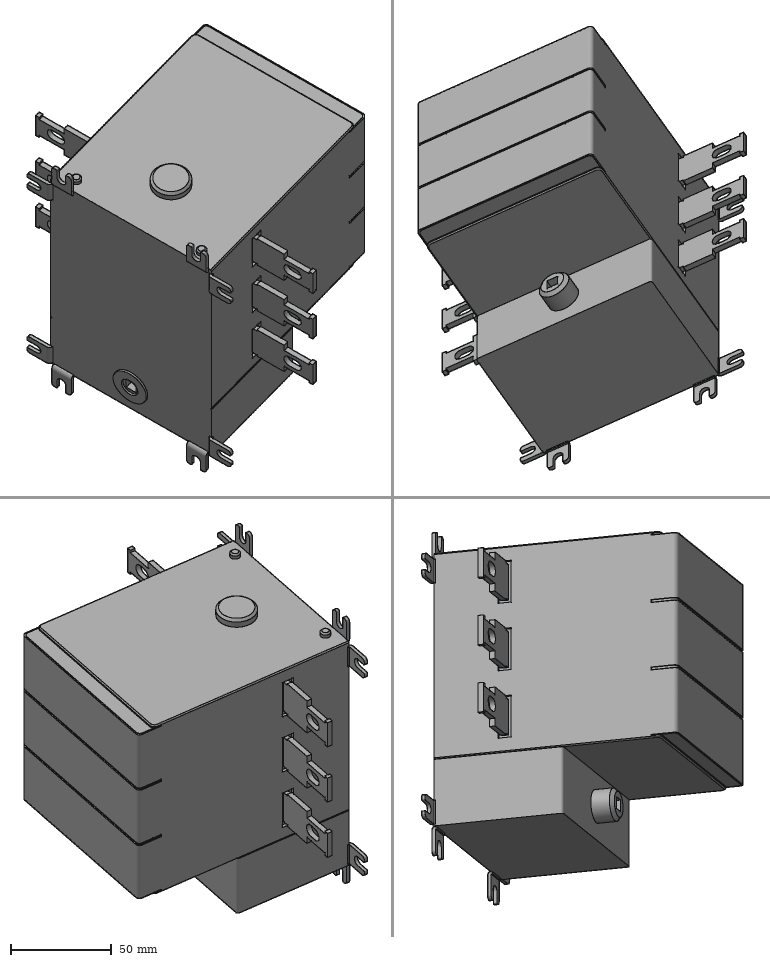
import cadquery as cq


body_width = 100.0
body_depth = 128.1
body_bottom = 34.5
body_top = 141.2
body_edge_radius = 2.2
cover_thickness = 1.4
cover_depth = 119.3
cover_corner_radius = 3.1
cover_chamfer = 0.7
body_mid_height = (body_bottom + body_top) / 2

pole_count = 3
core_bottom = body_bottom + cover_thickness
core_top = body_top - cover_thickness
pole_pitch = 34.9
groove_width = 1.4
groove_length = 14.0
groove_depth = 0.7

gearbox_depth = 68.0
gearbox_edge_radius = 1.4
drive_height = 17.4
drive_ring_diameter = 20.6
drive_ring_height = 1.2
drive_ring_bore = 10.1
drive_square = 6.0
boss_diameter = 16.9
boss_length = 11.7
boss_chamfer = 1.9

knob_diameter = 20.8
knob_height = 4.6
knob_chamfer = 1.4
knob_y = 33.0
screw_diameter = 5.3
screw_height = 2.8
screw_chamfer = 0.9
screw_spacing = 77.7
screw_y = 6.5

lug_span = 172.0
lug_thickness = 3.0
lug_y = 37.1
lug_width = 20.1
lug_neck_width = 18.4
lug_neck_end = 51.4
lug_shoulder = 68.3
lug_arm_width = 12.2
lug_tip_width = 15.1
lug_tip_length = 2.2
lug_hole_x = 73.5
lug_hole_length = 10.7
lug_hole_width = 6.7
window_width = 6.9
window_height = 21.7
window_depth = 1.7

foot_width = 12.2
foot_length = 14.8
foot_thickness = 1.9
foot_bend_radius = 2.5
foot_flange_depth = 0.9
foot_slot_width = 5.3
foot_slot_depth = 8.6
foot_tip_radius = 2.0
foot_slot_mouth_radius = 0.7
top_foot_tip = 153.0
bottom_foot_tip = -14.0
side_foot_tip = 63.3
foot_x = 41.8
upper_side_foot_z = 131.9
lower_side_foot_z = 7.0


def box(width, depth, height, y, z):
    """Block centred in X, starting at the given Y and Z."""
    return cq.Workplane("XY").box(width, depth, height, centered=(True, False, False)).translate((0, y, z))


def chamfered_stud(diameter, height, chamfer):
    """Round stud standing on Z = 0 with a chamfered top rim."""
    return cq.Workplane("XY").circle(diameter / 2).extrude(height).faces(">Z").chamfer(chamfer)


def make_cover():
    """Top cover: rounded rear corners, outer edge chamfered except along the front."""
    cover = box(body_width, cover_depth, cover_thickness, 0, core_top)
    cover = cover.edges("|Z and >Y").fillet(cover_corner_radius)
    return cover.faces(">Z").edges("not <Y").chamfer(cover_chamfer)


def make_core():
    """Stack of poles with grooves around the sides and back at every pole boundary."""
    core = box(body_width, body_depth, core_top - core_bottom, 0, core_bottom)
    core = core.edges("|Z and >Y").fillet(body_edge_radius)
    groove_start = body_depth - groove_length
    inner = box(body_width - 2 * groove_depth, body_depth - groove_depth, groove_width, 0, 0)
    inner = inner.edges("|Z and >Y").fillet(body_edge_radius)
    groove = box(body_width, groove_length, groove_width, groove_start, 0).cut(inner)
    for boundary in range(pole_count + 1):
        height = body_mid_height + (boundary - pole_count / 2) * pole_pitch
        core = core.cut(groove.translate((0, 0, height - groove_width / 2)))
    return core


def make_body():
    cover = make_cover()
    return make_core().union(cover).union(cover.mirror("XY", (0, 0, body_mid_height)))


def make_gearbox():
    gearbox = box(body_width, gearbox_depth, body_bottom, 0, 0)
    gearbox = gearbox.edges("|Z and >Y").fillet(gearbox_edge_radius)
    boss = chamfered_stud(boss_diameter, boss_length, boss_chamfer)
    boss = boss.rotate((0, 0, 0), (1, 0, 0), -90).translate((0, gearbox_depth, drive_height))
    ring = cq.Workplane("XZ").center(0, drive_height).circle(drive_ring_diameter / 2).extrude(drive_ring_height)
    return gearbox.union(boss).union(ring)


def make_drive_socket():
    """Round opening of the front ring and a square hole running through gearbox and boss."""
    face = cq.Workplane("XZ", origin=(0, -drive_ring_height, drive_height))
    bore = face.circle(drive_ring_bore / 2).extrude(-drive_ring_height)
    hole_length = drive_ring_height + gearbox_depth + boss_length
    return bore.union(face.rect(drive_square, drive_square).extrude(-hole_length))


def make_lug():
    """Pair of lugs as one bar through the body, centred on the origin."""
    plane = cq.Workplane("XZ")
    half_span = lug_span / 2

    def bar(half_length, width):
        return plane.rect(2 * half_length, width).extrude(lug_thickness / 2, both=True)

    lug = bar(half_span, lug_arm_width)
    lug = lug.union(bar(half_span, lug_tip_width).cut(bar(half_span - lug_tip_length, lug_tip_width)))
    lug = lug.union(bar(lug_shoulder, lug_width).cut(bar(lug_neck_end, lug_width)))
    lug = lug.union(bar(lug_neck_end, lug_neck_width))
    holes = plane.pushPoints([(-lug_hole_x, 0), (lug_hole_x, 0)]).slot2D(lug_hole_length, lug_hole_width)
    return lug.cut(holes.extrude(lug_thickness, both=True))


def make_windows():
    """Shallow recesses around one pair of lugs, on both side walls."""
    outer = cq.Workplane("XY").box(body_width, window_width, window_height)
    return outer.cut(cq.Workplane("XY").box(body_width - 2 * window_depth, window_width, window_height))


def make_foot():
    """Foot with its forked tip facing up at Z = 0; the lower end bends back into the body."""
    foot = (
        cq.Workplane("YZ")
        .moveTo(-foot_thickness, 0)
        .lineTo(-foot_thickness, foot_bend_radius - foot_length)
        .radiusArc((foot_bend_radius - foot_thickness, -foot_length), -foot_bend_radius)
        .lineTo(foot_flange_depth, -foot_length)
        .lineTo(foot_flange_depth, foot_thickness - foot_length)
        .lineTo(0, foot_thickness - foot_length)
        .lineTo(0, 0)
        .close()
        .extrude(foot_width / 2, both=True)
    )
    slot = cq.Workplane("XZ").slot2D(2 * foot_slot_depth, foot_slot_width, 90).extrude(foot_thickness)
    foot = foot.faces(">Z").edges("|Y").fillet(foot_tip_radius).cut(slot)
    for side in (-1, 1):
        point = (side * foot_slot_width / 2, -foot_thickness / 2, 0)
        foot = foot.edges(cq.selectors.NearestToPointSelector(point)).fillet(foot_slot_mouth_radius)
    return foot


def make_feet():
    """Eight feet: two on the top, two on the bottom and two on each side."""
    foot = make_foot()
    downward = foot.rotate((0, 0, 0), (0, 1, 0), 180)
    feet = []
    for side in (-1, 1):
        sideways = foot.rotate((0, 0, 0), (0, 1, 0), side * 90)
        feet.append(foot.translate((side * foot_x, 0, top_foot_tip)))
        feet.append(downward.translate((side * foot_x, 0, bottom_foot_tip)))
        for height in (upper_side_foot_z, lower_side_foot_z):
            feet.append(sideways.translate((side * side_foot_tip, 0, height)))
    return feet


result = make_body().union(make_gearbox()).cut(make_drive_socket())

lug_pair = make_lug()
windows = make_windows()
for pole in range(pole_count):
    pole_height = body_mid_height + (pole - (pole_count - 1) / 2) * pole_pitch
    position = (0, lug_y, pole_height)
    result = result.cut(windows.translate(position)).union(lug_pair.translate(position))

knob = chamfered_stud(knob_diameter, knob_height, knob_chamfer)
result = result.union(knob.translate((0, knob_y, body_top)))

screw = chamfered_stud(screw_diameter, screw_height, screw_chamfer)
for side in (-1, 1):
    result = result.union(screw.translate((side * screw_spacing / 2, screw_y, body_top)))

for foot in make_feet():
    result = result.union(foot)